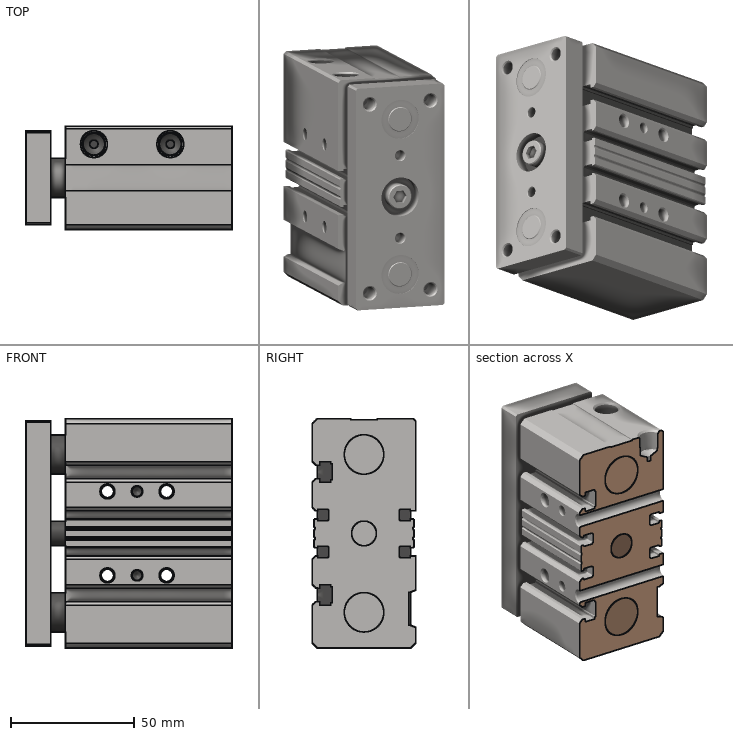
import cadquery as cq
import math


housing_length = 67.5
housing_width = 42.0
housing_height = 93.0
plate_gap = 5.95
plate_thickness = 10.0
plate_width = 38.0
plate_height = 91.4
plate_edge_chamfer = 0.7
half_width = housing_width / 2
half_height = housing_height / 2
plate_back_x = -plate_gap
plate_front_x = plate_back_x - plate_thickness

edge_chamfer = 2.0
port_edge_chamfer = 1.0
top_recess_width = 10.6
top_recess_depth = 0.4

mount_slot_z = 24.9
mount_mouth = 5.4
mount_lip = 3.1
mount_head = 8.4
mount_head_depth = 4.5
mount_mouth_chamfer = 1.5
relief_width = 6.5
relief_depth = 0.65

rib_half_height = 5.9
rib_setback = 0.7
rib_edge_chamfer = 0.4
sensor_mouth = 3.3
sensor_lip = 2.3
sensor_undercut = 0.7
sensor_depth = 6.8
sensor_back_bevel = 0.6
sensor_mouth_chamfer = 1.4
rib_groove_inner_z = 1.3
rib_groove_outer_z = 2.7
rib_groove_inner_flank = 0.65
rib_groove_outer_flank = 0.4
rib_groove_depth = 0.5

wide_slot_top_z = -23.9
wide_slot_bottom_z = -37.2
wide_slot_depth = 3.0
wide_slot_bevel_depth = 2.0
wide_slot_bevel_height = 0.9

screw_hole_diameter = 5.0
screw_mouth_diameter = 6.0
dowel_diameter = 4.1
dowel_mouth_diameter = 4.6
dowel_depth = 5.95
drill_tip_angle = 118
hole_row_z = 17.0
screw_hole_xs = (17.0, 41.0)
dowel_x = sum(screw_hole_xs) / 2
plate_screw_spacing_y = 26.0
plate_screw_spacing_z = 77.9

port_xs = (11.5, 42.5)
port_y = 13.7
port_diameter = 9.4
port_bottom_diameter = 8.8
port_mouth_diameter = 10.9
port_depth = 8.4
port_feed_diameter = 3.35
port_feed_depth = 3.7

guide_spacing = 64.0
guide_diameter = 16.0
guide_end_recess = 0.3
rod_diameter = 10.0
rod_end_chamfer = 0.4
counterbore_depth = 5.2
hex_flats = 5.0
hex_depth = 2.3


def x_prism(points, start_x, length):
    """Extrude a closed (Y, Z) outline along +X."""
    return cq.Workplane("YZ").workplane(offset=start_x).polyline(points).close().extrude(length)


def x_cylinder(diameter, start_x, end_x, z=0.0):
    """Cylinder along X, centred on Y = 0 at height z."""
    disc = cq.Workplane("YZ").workplane(offset=start_x).center(0, z).circle(diameter / 2)
    return disc.extrude(end_x - start_x)


def revolved_cutter(profile, origin, direction):
    """Hole cutter from (radius, depth) points that start and end on the axis."""
    plane = cq.Plane(origin=origin, normal=direction)
    solid = cq.Workplane("XZ").polyline(profile).close().revolve(360, (0, 0, 0), (0, 1, 0)).val()
    return cq.Workplane(solid.moved(cq.Location(plane)))


def screw_hole(origin, direction, depth):
    """Straight hole with a 45 degree countersunk mouth."""
    radius = screw_hole_diameter / 2
    mouth = screw_mouth_diameter / 2
    profile = [(0, 0), (mouth, 0), (radius, mouth - radius), (radius, depth), (0, depth)]
    return revolved_cutter(profile, origin, direction)


def drill_tip_height(diameter):
    return diameter / 2 / math.tan(math.radians(drill_tip_angle / 2))


def dowel_hole(origin, direction):
    """Blind hole with a countersunk mouth and a drill-point bottom."""
    radius = dowel_diameter / 2
    mouth = dowel_mouth_diameter / 2
    tip = dowel_depth + drill_tip_height(dowel_diameter)
    profile = [(0, 0), (mouth, 0), (radius, mouth - radius), (radius, dowel_depth), (0, tip)]
    return revolved_cutter(profile, origin, direction)


def port_hole(x):
    """Tapered air port: countersunk mouth, drill-point bottom and a small feed hole."""
    radius = port_diameter / 2
    bottom = port_bottom_diameter / 2
    mouth = port_mouth_diameter / 2
    feed = port_feed_diameter / 2
    cone_end = port_depth + drill_tip_height(port_bottom_diameter) - drill_tip_height(port_feed_diameter)
    feed_end = port_depth + port_feed_depth
    profile = [
        (0, 0),
        (mouth, 0),
        (radius, mouth - radius),
        (bottom, port_depth),
        (feed, cone_end),
        (feed, feed_end),
        (0, feed_end),
    ]
    return revolved_cutter(profile, (x, port_y, half_height), (0, 0, -1))


def side_cut(side, profile):
    """Full-length cut from (depth, z) points, on the +Y (side = 1) or -Y (side = -1) face."""
    return x_prism([(side * (half_width - depth), z) for depth, z in profile], 0, housing_length)


def mirrored_slot(side, centre_z, upper):
    """Slot symmetric about centre_z, built from the (depth, height) points of its upper half."""
    lower = [(depth, -height) for depth, height in reversed(upper)]
    return side_cut(side, [(depth, centre_z + height) for depth, height in upper + lower])


def edge_bevel(side, z, direction, size, depth=0.0):
    """45 degree bevel on a slot edge at height z; direction points into the land."""
    return side_cut(side, [(depth, z), (depth, z + direction * size), (depth + size, z)])


def housing_block():
    outline = [
        (-half_width, -half_height + edge_chamfer),
        (-half_width + edge_chamfer, -half_height),
        (half_width - edge_chamfer, -half_height),
        (half_width, -half_height + edge_chamfer),
        (half_width, half_height - port_edge_chamfer),
        (half_width - port_edge_chamfer, half_height),
        (top_recess_width / 2, half_height),
        (top_recess_width / 2, half_height - top_recess_depth),
        (-top_recess_width / 2, half_height - top_recess_depth),
        (-top_recess_width / 2, half_height),
        (-half_width + edge_chamfer, half_height),
        (-half_width, half_height - edge_chamfer),
    ]
    return x_prism(outline, 0, housing_length)


def mount_slot(z):
    """T-slot with a shallow relief along the middle of its back wall."""
    head_back = mount_lip + mount_head_depth
    relief_back = head_back + relief_depth
    upper = [
        (0, mount_mouth / 2),
        (mount_lip, mount_mouth / 2),
        (mount_lip, mount_head / 2),
        (head_back, mount_head / 2),
        (head_back, relief_width / 2),
        (relief_back, relief_width / 2),
    ]
    return mirrored_slot(-1, z, upper)


def cut_mount_slots(body):
    for z in (mount_slot_z, -mount_slot_z):
        body = body.cut(mount_slot(z))
        for direction in (1, -1):
            edge_z = z + direction * mount_mouth / 2
            body = body.cut(edge_bevel(-1, edge_z, direction, mount_mouth_chamfer))
    return body


def sensor_slot(side, end):
    """Slot beside the rib, undercut behind both lips; end is 1 above the rib and -1 below it."""
    centre_z = end * (rib_half_height + sensor_mouth / 2)
    mouth = sensor_mouth / 2
    head = mouth + sensor_undercut
    upper = [
        (0, mouth),
        (sensor_lip, mouth),
        (sensor_lip, head),
        (sensor_depth - sensor_back_bevel, head),
        (sensor_depth, head - sensor_back_bevel),
    ]
    return mirrored_slot(side, centre_z, upper)


def rib_groove(side, end):
    """Shallow groove in the rib face, with the gentler flank toward the rib centre."""
    floor_depth = rib_setback + rib_groove_depth
    profile = [
        (rib_setback, rib_groove_inner_z),
        (floor_depth, rib_groove_inner_z + rib_groove_inner_flank),
        (floor_depth, rib_groove_outer_z - rib_groove_outer_flank),
        (rib_setback, rib_groove_outer_z),
    ]
    return side_cut(side, [(depth, end * z) for depth, z in profile])


def rib_setback_cut(side):
    profile = [
        (0, -rib_half_height),
        (0, rib_half_height),
        (rib_setback, rib_half_height),
        (rib_setback, -rib_half_height),
    ]
    return side_cut(side, profile)


def cut_sensor_slots(body):
    for side in (1, -1):
        body = body.cut(rib_setback_cut(side))
        for end in (1, -1):
            rib_bevel = edge_bevel(side, end * rib_half_height, -end, rib_edge_chamfer, rib_setback)
            body = body.cut(sensor_slot(side, end)).cut(rib_groove(side, end)).cut(rib_bevel)
    land_z = rib_half_height + sensor_mouth
    for end in (1, -1):
        body = body.cut(edge_bevel(-1, end * land_z, end, sensor_mouth_chamfer))
    return body


def cut_wide_slot(body):
    profile = [
        (0, wide_slot_top_z + wide_slot_bevel_height),
        (wide_slot_bevel_depth, wide_slot_top_z),
        (wide_slot_depth, wide_slot_top_z),
        (wide_slot_depth, wide_slot_bottom_z),
        (wide_slot_bevel_depth, wide_slot_bottom_z),
        (0, wide_slot_bottom_z - wide_slot_bevel_height),
    ]
    return body.cut(side_cut(1, profile))


def make_housing():
    body = cut_wide_slot(cut_sensor_slots(cut_mount_slots(housing_block())))
    for z in (hole_row_z, -hole_row_z):
        for x in screw_hole_xs:
            body = body.cut(screw_hole((x, -half_width, z), (0, 1, 0), housing_width))
        body = body.cut(dowel_hole((dowel_x, -half_width, z), (0, 1, 0)))
    for x in port_xs:
        body = body.cut(port_hole(x))
    for z in (guide_spacing / 2, -guide_spacing / 2):
        body = body.cut(x_cylinder(guide_diameter, 0, housing_length, z))
    return body.cut(x_cylinder(rod_diameter, 0, housing_length))


def make_plate():
    plate = cq.Workplane("YZ").workplane(offset=plate_front_x).rect(plate_width, plate_height)
    plate = plate.extrude(plate_thickness).edges("|X").chamfer(plate_edge_chamfer)
    for z in (guide_spacing / 2, -guide_spacing / 2):
        plate = plate.cut(x_cylinder(guide_diameter, plate_front_x, plate_back_x, z))
    plate = plate.cut(x_cylinder(rod_diameter, plate_front_x, plate_back_x))
    plate = plate.cut(x_cylinder(guide_diameter, plate_front_x, plate_front_x + counterbore_depth))
    for side in (1, -1):
        for end in (1, -1):
            corner = (plate_front_x, side * plate_screw_spacing_y / 2, end * plate_screw_spacing_z / 2)
            plate = plate.cut(screw_hole(corner, (1, 0, 0), plate_thickness))
    for z in (hole_row_z, -hole_row_z):
        plate = plate.cut(dowel_hole((plate_front_x, 0, z), (1, 0, 0)))
    return plate


def make_piston_rod():
    """Chamfered rod with a hexagon socket whose flats face up and down."""
    rod = x_cylinder(rod_diameter, plate_front_x, housing_length).faces("<X").chamfer(rod_end_chamfer)
    across_corners = hex_flats / math.cos(math.radians(30))
    socket = cq.Workplane("YZ").workplane(offset=plate_front_x).polygon(6, across_corners)
    return rod.cut(socket.extrude(hex_depth))


def make_guide_rod(z):
    """Guide rod set slightly below the plate face, with a raised flush centre."""
    shaft_start = plate_front_x + guide_end_recess
    shaft = x_cylinder(guide_diameter, shaft_start, housing_length, z)
    centre = x_cylinder(rod_diameter, plate_front_x, housing_length, z)
    centre = centre.faces("<X").chamfer(guide_end_recess)
    return shaft.union(centre)


housing = make_housing()
plate = make_plate()
piston_rod = make_piston_rod()
guide_rods = [make_guide_rod(end * guide_spacing / 2) for end in (1, -1)]

result = cq.Compound.makeCompound(
    [housing.val(), plate.val(), piston_rod.val(), *[rod.val() for rod in guide_rods]]
)